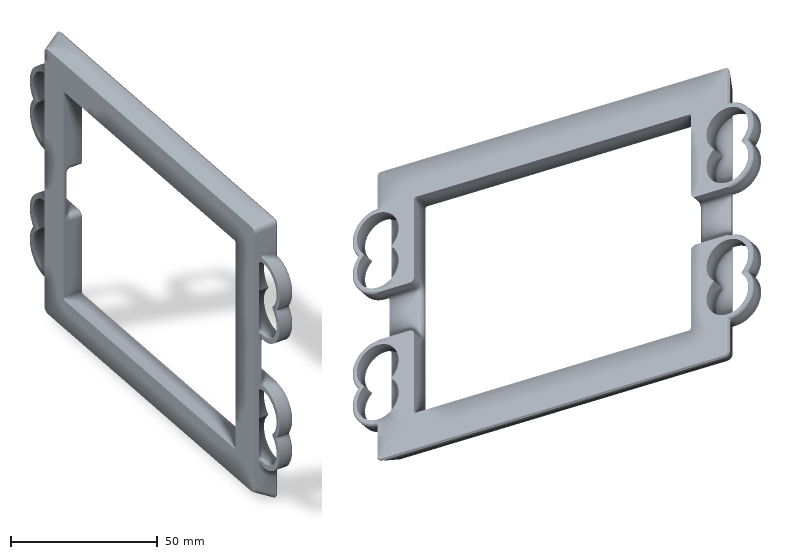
import cadquery as cq
import math

total_width = 159.3
frame_width = 140.0
frame_height = 113.9
frame_depth = 7.5
side_angle = 24.0
back_bevel = 0.8
corner_radius = 2.4

opening_width = 109.9
opening_height = 84.9
opening_corner_radius = 0.8

ring_radius = 10.2
ring_half_height = 16.5
ring_wall = 1.9
ring_offset_z = 26.0
ring_depth = 5.4
ring_bevel = 0.5
pocket_depth = 6.0
waist_radius = 0.5
join_radius = 1.0

notch_depth = 5.3
notch_floor_radius = 1.0
notch_mouth_radius = 1.9

back_y = frame_depth / 2
ring_x = total_width / 2 - ring_radius
circle_offset_z = ring_half_height - ring_radius
notch_height = 2 * (ring_offset_z - ring_half_height)

pick_x = 1.6
pick_z = 0.6

sides = (-1, 1)
levels = (-1, 1)


def back_plane():
    """Sketch plane on the back face: local x is +X, local y is +Z, extrusion runs to -Y."""
    return cq.Workplane("XZ", origin=(0, back_y, 0))


def edge_box(x, z, rear_y):
    """Selector for edges centred close to (x, z) and between the front face and `rear_y`."""
    low_corner = (x - pick_x, -frame_depth / 2, z - pick_z)
    high_corner = (x + pick_x, rear_y, z + pick_z)
    return cq.selectors.BoxSelector(low_corner, high_corner)


def frame():
    bevel_loss = 2 * back_bevel * math.sin(math.radians(side_angle))
    block = (
        back_plane()
        .rect(frame_width + bevel_loss, frame_height + bevel_loss)
        .extrude(frame_depth, taper=side_angle)
    )
    block = block.edges("not(#Y)").fillet(corner_radius)
    block = block.faces(">Y").edges().chamfer(back_bevel)
    window = (
        back_plane()
        .rect(opening_width, opening_height)
        .extrude(frame_depth)
        .edges("|Y")
        .fillet(opening_corner_radius)
    )
    return block.cut(window)


def cut_notch(body, side):
    """Cut the passage through the short side at X sign `side` and round its mouth."""
    inner_x = opening_width / 2
    length = total_width / 2 - inner_x
    passage = (
        back_plane()
        .center(side * (inner_x + length / 2), 0)
        .rect(length, notch_height)
        .extrude(notch_depth)
        .faces("<Y")
        .edges("|X")
        .fillet(notch_floor_radius)
    )
    body = body.cut(passage)
    mouth = edge_box(side * inner_x, notch_height / 2, back_y)
    return body.edges(mouth).edges("|Y").fillet(notch_mouth_radius)


def figure_eight(side, level, radius, depth):
    """Solid figure eight at X sign `side` and Z sign `level`; its two |Y edges are the waist."""
    half_waist = math.sqrt(radius**2 - circle_offset_z**2)
    top_z = circle_offset_z + radius
    return (
        back_plane()
        .center(side * ring_x, level * ring_offset_z)
        .moveTo(half_waist, 0)
        .threePointArc((0, top_z), (-half_waist, 0))
        .threePointArc((0, -top_z), (half_waist, 0))
        .close()
        .extrude(depth)
    )


def add_ring_body(body, side, level):
    """Add a solid figure eight and blend it into the frame side away from the passage."""
    ring = figure_eight(side, level, ring_radius, ring_depth)
    body = body.union(ring.faces(">Y").edges().chamfer(ring_bevel))
    join_z = level * (ring_offset_z + ring_half_height)
    join = edge_box(side * ring_x, join_z, back_y / 2)
    return body.edges(join).fillet(join_radius)


def hollow_ring(body, side, level):
    pocket = figure_eight(side, level, ring_radius - ring_wall, pocket_depth)
    return body.cut(pocket.edges("|Y").fillet(waist_radius))


result = frame()
for side in sides:
    result = cut_notch(result, side)
for side in sides:
    for level in levels:
        result = add_ring_body(result, side, level)
for side in sides:
    for level in levels:
        result = hollow_ring(result, side, level)